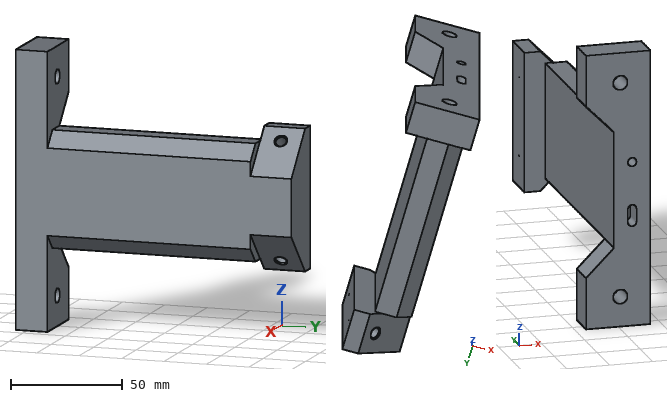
import cadquery as cq
import math

WIDTH = 30.0
LENGTH = 130.08
HEIGHT = 128.0
MID_Z = HEIGHT / 2

FLANGE_THICKNESS = 15.0
NOTCH_DEPTH = 13.0
NOTCH_MARGIN = 24.0
MOUNT_HOLE_DIAMETER = 6.6
MOUNT_HOLE_SPACING = 100.0
MOUNT_HOLE_X = 16.0

DOWEL_DIAMETER = 4.0
DOWEL_DEPTH = 10.0
DOWEL_X = 21.5
DOWEL_OFFSET = 12.5
SLOT_LENGTH = 10.0

ARM_X = NOTCH_DEPTH
ARM_HEIGHT = HEIGHT - 2 * (NOTCH_MARGIN + NOTCH_DEPTH)
ARM_BEVEL = 7.0

BLOCK_X = 3.3
BLOCK_LENGTH = 19.3
BLOCK_HEIGHT = 65.3
BLOCK_BEVEL = 19.3

TAP_DRILL_DIAMETER = 4.92
TAP_RIM_DIAMETER = 6.0
TAP_DEPTH = 15.0
TAP_X = 16.0
BEVEL_ANGLE = math.radians(45)


def make_flange():
    outline = [
        (0, 0),
        (WIDTH, 0),
        (WIDTH, HEIGHT),
        (0, HEIGHT),
        (0, HEIGHT - NOTCH_MARGIN),
        (NOTCH_DEPTH, HEIGHT - NOTCH_MARGIN - NOTCH_DEPTH),
        (NOTCH_DEPTH, NOTCH_MARGIN + NOTCH_DEPTH),
        (0, NOTCH_MARGIN),
    ]
    return cq.Workplane("XZ").polyline(outline).close().extrude(-FLANGE_THICKNESS)


def make_bevelled_bar(start_x, height, bevel, start_y, end_y):
    """Bar along Y from start_x to the +X side, its two +X edges bevelled at 45 degrees."""
    half = height / 2
    outline = [
        (start_x, MID_Z - half),
        (WIDTH - bevel, MID_Z - half),
        (WIDTH, MID_Z - half + bevel),
        (WIDTH, MID_Z + half - bevel),
        (WIDTH - bevel, MID_Z + half),
        (start_x, MID_Z + half),
    ]
    plane = cq.Workplane("XZ", origin=(0, start_y, 0))
    return plane.polyline(outline).close().extrude(start_y - end_y)


def make_mount_holes():
    half = MOUNT_HOLE_SPACING / 2
    centres = [(MOUNT_HOLE_X, MID_Z - half), (MOUNT_HOLE_X, MID_Z + half)]
    return cq.Workplane("XZ").pushPoints(centres).circle(MOUNT_HOLE_DIAMETER / 2).extrude(-FLANGE_THICKNESS)


def make_dowel_cuts():
    hole = (
        cq.Workplane("XZ")
        .center(DOWEL_X, MID_Z + DOWEL_OFFSET)
        .circle(DOWEL_DIAMETER / 2)
        .extrude(-DOWEL_DEPTH)
    )
    slot = (
        cq.Workplane("XZ")
        .center(DOWEL_X, MID_Z - DOWEL_OFFSET)
        .slot2D(SLOT_LENGTH, DOWEL_DIAMETER, 90)
        .extrude(-DOWEL_DEPTH)
    )
    return hole.union(slot)


def make_tapped_hole(side):
    """Countersunk hole in the upper (side = 1) or lower (side = -1) bevel of the end block."""
    bevel_drop = TAP_X - (WIDTH - BLOCK_BEVEL)
    rim_z = MID_Z + side * (BLOCK_HEIGHT / 2 - bevel_drop)
    rim_centre = cq.Vector(TAP_X, LENGTH - BLOCK_LENGTH / 2, rim_z)
    inward = cq.Vector(-math.sin(BEVEL_ANGLE), 0, -side * math.cos(BEVEL_ANGLE))
    drill_radius = TAP_DRILL_DIAMETER / 2
    rim_radius = TAP_RIM_DIAMETER / 2
    drill = cq.Solid.makeCylinder(drill_radius, TAP_DEPTH, rim_centre, inward)
    countersink = cq.Solid.makeCone(rim_radius, drill_radius, rim_radius - drill_radius, rim_centre, inward)
    return cq.Workplane("XY").add(drill.fuse(countersink))


block_start = LENGTH - BLOCK_LENGTH
arm = make_bevelled_bar(ARM_X, ARM_HEIGHT, ARM_BEVEL, 0, block_start)
end_block = make_bevelled_bar(BLOCK_X, BLOCK_HEIGHT, BLOCK_BEVEL, block_start, LENGTH)

result = make_flange().union(arm).union(end_block)
result = result.cut(make_mount_holes()).cut(make_dowel_cuts())
for bevel_side in (1, -1):
    result = result.cut(make_tapped_hole(bevel_side))